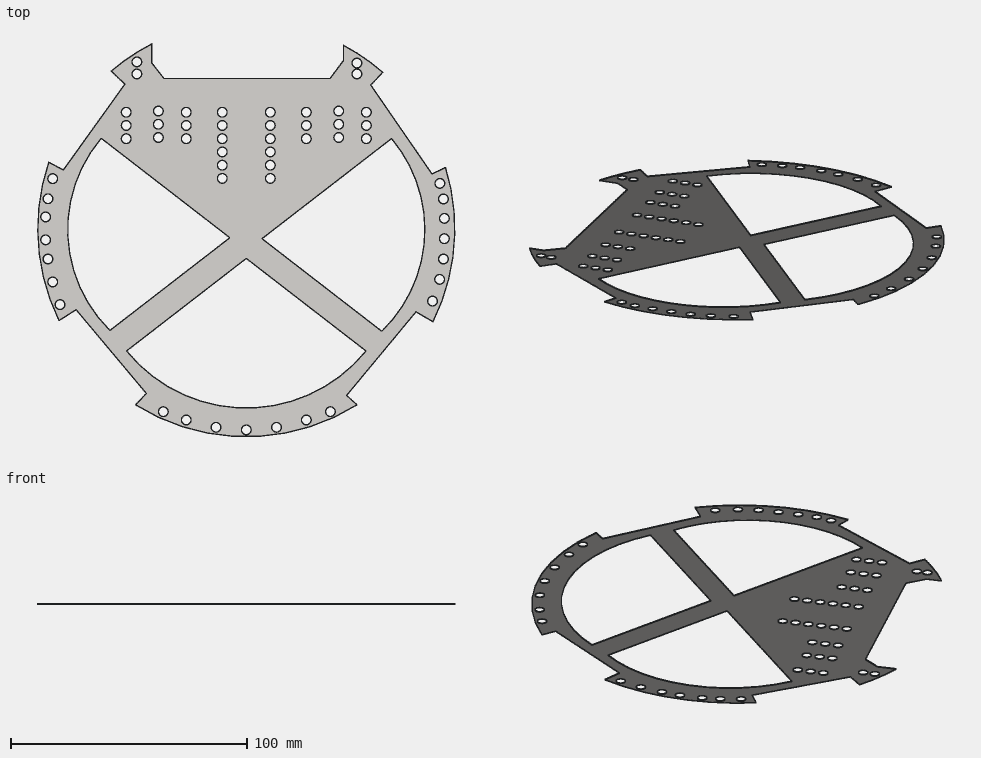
import cadquery as cq
import math

THICKNESS = 0.41
RIM_RADIUS = 87.95
SIDE_RIM_SHIFT = 0.32

TOP_EDGE_Y = 63.7
TOP_EDGE_LEFT_X = -34.8
TOP_EDGE_RIGHT_X = 35.4
TOP_LEFT_TAB_INNER = (-39.9, 70.2)
TOP_LEFT_TAB_ROOT = (-51.4, 61.3)
TOP_LEFT_TAB_TIP_X = -57.2
TOP_RIGHT_TAB_INNER = (41.1, 71.3)
TOP_RIGHT_TAB_ROOT = (52.7, 60.9)
TOP_RIGHT_TAB_TIP_X = 57.8
RIGHT_TAB_UPPER_ROOT = (78.6, 23.3)
RIGHT_TAB_UPPER_TIP_Y = 26.1
RIGHT_TAB_LOWER_ROOT = (71.8, -35.1)
RIGHT_TAB_LOWER_TIP_Y = -39.3
BOTTOM_TAB_RIGHT_ROOT = (42.5, -70.4)
BOTTOM_TAB_TIP_X = 46.9
BOTTOM_TAB_LEFT_ROOT = (-42.3, -69.6)
LEFT_TAB_LOWER_ROOT = (-72.0, -34.2)
LEFT_TAB_LOWER_TIP_Y = -38.8
LEFT_TAB_UPPER_ROOT = (-77.4, 25.0)
LEFT_TAB_UPPER_TIP_Y = 28.3

SPOKE_ANGLE = 37.7
LEFT_WINDOW_APEX = (-7.0, -3.7)
RIGHT_WINDOW_APEX = (6.7, -4.1)
BOTTOM_WINDOW_APEX = (0.0, -12.5)
SIDE_WINDOW_RADIUS = 59.8
SIDE_WINDOW_CENTER_X = 15.7
SIDE_WINDOW_CENTER_Y = -0.3
BOTTOM_WINDOW_RADIUS = 65.2
BOTTOM_WINDOW_CENTER = (0.0, -10.5)

HOLE_DIAMETER = 4.0
GRID_PITCH = 5.6
GRID_TOP_Y = 49.4
RAISED_GRID_TOP_Y = 49.9
GRID_COLUMNS = [
    (-50.8, GRID_TOP_Y, 3),
    (-37.2, RAISED_GRID_TOP_Y, 3),
    (-25.4, GRID_TOP_Y, 3),
    (-10.16, GRID_TOP_Y, 6),
    (10.16, GRID_TOP_Y, 6),
    (25.4, GRID_TOP_Y, 3),
    (39.1, RAISED_GRID_TOP_Y, 3),
    (50.8, GRID_TOP_Y, 3),
]
TOP_TAB_HOLES = [(-46.3, 70.7), (-46.3, 65.6), (46.8, 70.2), (46.8, 65.6)]
LEFT_RIM_HOLES = [
    (-81.9, 21.3), (-83.9, 12.8), (-84.9, 5.1), (-84.9, -4.6),
    (-83.9, -12.7), (-81.9, -22.4), (-78.8, -32.0),
]
RIGHT_RIM_HOLES = [
    (81.9, 19.3), (83.4, 12.7), (83.8, 4.5), (83.8, -4.1),
    (83.4, -12.7), (81.8, -21.3), (78.8, -30.5),
]
BOTTOM_RIM_HOLES = [
    (-35.1, -77.3), (-25.4, -80.8), (-12.8, -83.9), (0.0, -85.0),
    (12.8, -83.9), (25.4, -80.8), (35.6, -77.3),
]


def rim_at_x(x, side):
    """Rim point of a top (side +1) or bottom (side -1) tab at x."""
    return (x, side * math.sqrt(RIM_RADIUS**2 - x**2))


def rim_at_y(y, side):
    """Rim point of the right (side +1) or left (side -1) tab at y."""
    return (side * (SIDE_RIM_SHIFT + math.sqrt(RIM_RADIUS**2 - y**2)), y)


def arc_middle(start, end, center, radius):
    """Middle of the arc about center between two points, on the side of the chord away from center."""
    mid_x = (start[0] + end[0]) / 2 - center[0]
    mid_y = (start[1] + end[1]) / 2 - center[1]
    scale = radius / math.hypot(mid_x, mid_y)
    return (center[0] + mid_x * scale, center[1] + mid_y * scale)


def make_plate():
    """Plate outline with five tabs that reach out to the round rim."""
    plate_center = (0, 0)
    right_center = (SIDE_RIM_SHIFT, 0)
    left_center = (-SIDE_RIM_SHIFT, 0)
    tabs = [
        (
            TOP_RIGHT_TAB_INNER,
            rim_at_x(TOP_RIGHT_TAB_INNER[0], 1),
            rim_at_x(TOP_RIGHT_TAB_TIP_X, 1),
            TOP_RIGHT_TAB_ROOT,
            plate_center,
        ),
        (
            RIGHT_TAB_UPPER_ROOT,
            rim_at_y(RIGHT_TAB_UPPER_TIP_Y, 1),
            rim_at_y(RIGHT_TAB_LOWER_TIP_Y, 1),
            RIGHT_TAB_LOWER_ROOT,
            right_center,
        ),
        (
            BOTTOM_TAB_RIGHT_ROOT,
            rim_at_x(BOTTOM_TAB_TIP_X, -1),
            rim_at_x(-BOTTOM_TAB_TIP_X, -1),
            BOTTOM_TAB_LEFT_ROOT,
            plate_center,
        ),
        (
            LEFT_TAB_LOWER_ROOT,
            rim_at_y(LEFT_TAB_LOWER_TIP_Y, -1),
            rim_at_y(LEFT_TAB_UPPER_TIP_Y, -1),
            LEFT_TAB_UPPER_ROOT,
            left_center,
        ),
        (
            TOP_LEFT_TAB_ROOT,
            rim_at_x(TOP_LEFT_TAB_TIP_X, 1),
            rim_at_x(TOP_LEFT_TAB_INNER[0], 1),
            TOP_LEFT_TAB_INNER,
            plate_center,
        ),
    ]
    outline = cq.Workplane("XY").moveTo(TOP_EDGE_LEFT_X, TOP_EDGE_Y).lineTo(TOP_EDGE_RIGHT_X, TOP_EDGE_Y)
    for first_corner, first_tip, second_tip, last_corner, center in tabs:
        outline = outline.lineTo(*first_corner).lineTo(*first_tip)
        rim_middle = arc_middle(first_tip, second_tip, center, RIM_RADIUS)
        outline = outline.threePointArc(rim_middle, second_tip)
        outline = outline.lineTo(*last_corner)
    return outline.close().extrude(THICKNESS)


def ray_to_circle(apex, angle, center, radius):
    """Where a ray from apex, inside the circle, at an angle in degrees meets the circle."""
    dir_x = math.cos(math.radians(angle))
    dir_y = math.sin(math.radians(angle))
    offset_x = apex[0] - center[0]
    offset_y = apex[1] - center[1]
    along = offset_x * dir_x + offset_y * dir_y
    length = -along + math.sqrt(along**2 - offset_x**2 - offset_y**2 + radius**2)
    return (apex[0] + length * dir_x, apex[1] + length * dir_y)


def make_window(apex, start_angle, end_angle, center, radius):
    """Sector-shaped cutter: two straight sides from the apex, closed by an arc."""
    start = ray_to_circle(apex, start_angle, center, radius)
    end = ray_to_circle(apex, end_angle, center, radius)
    middle = arc_middle(start, end, center, radius)
    outline = cq.Workplane("XY").moveTo(*apex).lineTo(*start).threePointArc(middle, end).close()
    return outline.extrude(THICKNESS)


def cut_windows(plate):
    """Open the right, left and bottom windows; the top sector stays solid."""
    right_center = (SIDE_WINDOW_CENTER_X, SIDE_WINDOW_CENTER_Y)
    left_center = (-SIDE_WINDOW_CENTER_X, SIDE_WINDOW_CENTER_Y)
    right_angles = (-SPOKE_ANGLE, SPOKE_ANGLE)
    left_angles = (180 - SPOKE_ANGLE, 180 + SPOKE_ANGLE)
    bottom_angles = (180 + SPOKE_ANGLE, 360 - SPOKE_ANGLE)
    plate = plate.cut(make_window(RIGHT_WINDOW_APEX, *right_angles, right_center, SIDE_WINDOW_RADIUS))
    plate = plate.cut(make_window(LEFT_WINDOW_APEX, *left_angles, left_center, SIDE_WINDOW_RADIUS))
    return plate.cut(
        make_window(BOTTOM_WINDOW_APEX, *bottom_angles, BOTTOM_WINDOW_CENTER, BOTTOM_WINDOW_RADIUS)
    )


def cut_holes(plate):
    """Drill the hole columns of the top sector and the holes of the rim tabs."""
    centers = TOP_TAB_HOLES + LEFT_RIM_HOLES + RIGHT_RIM_HOLES + BOTTOM_RIM_HOLES
    for x, top_y, count in GRID_COLUMNS:
        centers = centers + [(x, top_y - row * GRID_PITCH) for row in range(count)]
    drills = cq.Workplane("XY").pushPoints(centers).circle(HOLE_DIAMETER / 2).extrude(THICKNESS)
    return plate.cut(drills)


result = cut_holes(cut_windows(make_plate()))